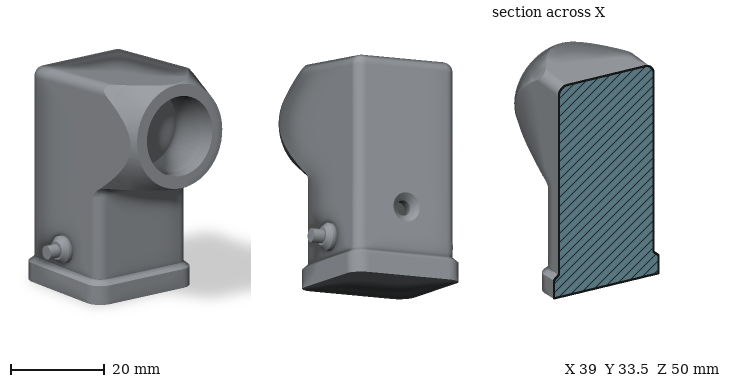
import cadquery as cq
import math

body_width = 24.0
body_half = body_width / 2
edge_radius = 2.25
flange_width = 26.5
flange_step = (flange_width - body_width) / 2
flange_radius = edge_radius + flange_step
flange_straight_height = 4.2
flange_chamfer_height = 1.05

arm_tilt = 4.0
mouth_radius = 11.4
mouth_center_x = 24.93
mouth_center_z = 38.48
arm_half_height = 11.55
cone_half_angle = 22.0
cone_length = 45.0
neck_radius = 2.3
bore_diameter = 17.5
bore_depth = mouth_center_x - body_half

peg_z = 9.5
peg_base_radius = 3.0
peg_shoulder_radius = 2.0
peg_pin_radius = 1.5
peg_base_y = 13.0
peg_shoulder_y = 14.1
peg_tip_y = 16.75

screw_z = 15.1
countersink_radius = 3.15
screw_hole_radius = 1.65
countersink_depth = countersink_radius - screw_hole_radius
screw_hole_depth = 4.0

oversize = 60.0

tilt_tangent = math.tan(math.radians(arm_tilt))
tilt_cosine = math.cos(math.radians(arm_tilt))
arm_axis = cq.Vector(tilt_cosine, 0, math.sin(math.radians(arm_tilt)))
mouth_center = cq.Vector(mouth_center_x, 0, mouth_center_z)


def tilted_z(x, offset):
    """Height at x of the plane parallel to the arm axis, offset square to it."""
    return mouth_center_z + offset / tilt_cosine + (x - mouth_center_x) * tilt_tangent


def make_flange():
    """Rounded base flange with a bevel running up to the column."""
    flange_height = flange_straight_height + flange_chamfer_height
    return (
        cq.Workplane("XY")
        .rect(flange_width, flange_width)
        .extrude(flange_height)
        .edges("|Z")
        .fillet(flange_radius)
        .faces(">Z")
        .chamfer(flange_chamfer_height, flange_step)
    )


def make_necked_stock():
    """Round-cornered column under an oversize tilted slab, filleted where they meet."""
    column = (
        cq.Workplane("XY")
        .rect(body_width, body_width)
        .extrude(mouth_center_z)
        .edges("|Z")
        .fillet(edge_radius)
    )
    slab = (
        cq.Workplane("XZ")
        .moveTo(-oversize, tilted_z(-oversize, -arm_half_height))
        .lineTo(oversize, tilted_z(oversize, -arm_half_height))
        .lineTo(oversize, 2 * oversize)
        .lineTo(-oversize, 2 * oversize)
        .close()
        .extrude(oversize, both=True)
    )
    neck_zone = cq.selectors.BoxSelector(
        (-body_width, -body_width, body_half),
        (body_width, body_width, mouth_center_z),
    )
    return column.union(slab).edges(neck_zone).edges("not |Z").fillet(neck_radius)


def make_envelope():
    """Outer block of the hood: rounded back corners and a rounded, sloping top."""
    block = (
        cq.Workplane("XZ")
        .moveTo(-body_half, 0)
        .lineTo(oversize, 0)
        .lineTo(oversize, tilted_z(oversize, arm_half_height))
        .lineTo(-body_half, tilted_z(-body_half, arm_half_height))
        .close()
        .extrude(body_half, both=True)
    )
    top_face_edges = block.faces(">Z").edges("not >X")
    back_corner_edges = block.faces("<X").edges("|Z")
    return block.newObject(top_face_edges.vals() + back_corner_edges.vals()).fillet(edge_radius)


def make_mouth_trim():
    """Cone narrowing to the mouth circle, plus a block that spares the column and neck."""
    cone_slope = math.tan(math.radians(cone_half_angle))
    back_center = mouth_center - arm_axis * cone_length
    back_radius = mouth_radius + cone_length * cone_slope
    cone = cq.Workplane(
        cq.Solid.makeCone(back_radius, mouth_radius, cone_length, back_center, arm_axis)
    )
    arm_corner_radius = math.hypot(body_half, arm_half_height)
    exit_distance = (arm_corner_radius - mouth_radius) / cone_slope
    exit_x = mouth_center_x - exit_distance * arm_axis.x + arm_half_height * arm_axis.z
    column_block = (
        cq.Workplane("XZ")
        .moveTo(-oversize, 0)
        .lineTo(exit_x, 0)
        .lineTo(exit_x, tilted_z(exit_x, -arm_half_height))
        .lineTo(-oversize, tilted_z(-oversize, -arm_half_height))
        .close()
        .extrude(oversize, both=True)
    )
    return cone.union(column_block)


def make_bore():
    """Blind cable bore entering square to the mouth."""
    return cq.Workplane(
        cq.Solid.makeCylinder(bore_diameter / 2, bore_depth, mouth_center, arm_axis * -1)
    )


def make_pegs():
    """Pair of stepped pegs turned about one axis along Y."""
    half_profile = (
        cq.Workplane("XY")
        .lineTo(peg_base_radius, 0)
        .lineTo(peg_base_radius, peg_base_y)
        .lineTo(peg_shoulder_radius, peg_shoulder_y)
        .lineTo(peg_pin_radius, peg_shoulder_y)
        .lineTo(peg_pin_radius, peg_tip_y)
        .lineTo(0, peg_tip_y)
        .close()
    )
    peg = half_profile.revolve(360, (0, 0), (0, 1)).translate((0, 0, peg_z))
    return peg.union(peg.mirror("XZ"))


def make_screw_hole():
    """Blind screw hole with a 45 degree countersink."""
    entry = cq.Vector(-body_half, 0, screw_z)
    inward = cq.Vector(1, 0, 0)
    countersink = cq.Solid.makeCone(
        countersink_radius, screw_hole_radius, countersink_depth, entry, inward
    )
    drill = cq.Solid.makeCylinder(screw_hole_radius, screw_hole_depth, entry, inward)
    return cq.Workplane(countersink).union(cq.Workplane(drill))


hood = make_envelope().intersect(make_necked_stock()).intersect(make_mouth_trim())
result = hood.union(make_flange()).union(make_pegs()).cut(make_bore()).cut(make_screw_hole())